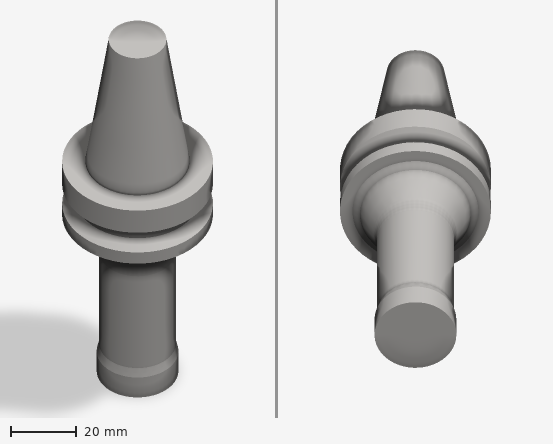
import cadquery as cq
import math

total_length = 133.4

nose_radius = 25.0 / 2
nose_height = 8.0
nose_cone_top = 11.2
shank_radius = 23.5 / 2

neck_bottom = 48.2
neck_break = 53.0
neck_top = 61.5
neck_top_radius = 17.0
neck_rim_radius = 19.2
neck_cone_angle = 26.0

neck_arc_rise = neck_break - neck_bottom
neck_break_radius = shank_radius + neck_arc_rise * math.tan(math.radians(neck_cone_angle / 2))

flange_radius = 46.0 / 2
flange_bottom = 63.0
flange_top = 84.3
groove_radius = 38.0 / 2
groove_floor_bottom = 69.8
groove_floor_top = 73.1
groove_wall_angle = 30.0
groove_wall_height = (flange_radius - groove_radius) * math.tan(math.radians(groove_wall_angle))

taper_large_radius = 31.7 / 2
taper_start = 85.0
taper_ratio = 7 / 24
taper_small_radius = taper_large_radius - (total_length - taper_start) * taper_ratio / 2

profile = (
    cq.Workplane("XZ")
    .lineTo(nose_radius, 0)
    .lineTo(nose_radius, nose_height)
    .lineTo(shank_radius, nose_cone_top)
    .lineTo(shank_radius, neck_bottom)
    .tangentArcPoint((neck_break_radius, neck_break), relative=False)
    .lineTo(neck_top_radius, neck_top)
    .lineTo(neck_rim_radius, flange_bottom)
    .lineTo(flange_radius, flange_bottom)
    .lineTo(flange_radius, groove_floor_bottom - groove_wall_height)
    .lineTo(groove_radius, groove_floor_bottom)
    .lineTo(groove_radius, groove_floor_top)
    .lineTo(flange_radius, groove_floor_top + groove_wall_height)
    .lineTo(flange_radius, flange_top)
    .lineTo(taper_large_radius, flange_top)
    .lineTo(taper_large_radius, taper_start)
    .lineTo(taper_small_radius, total_length)
    .lineTo(0, total_length)
    .close()
)

result = profile.revolve(360, (0, 0, 0), (0, 1, 0))